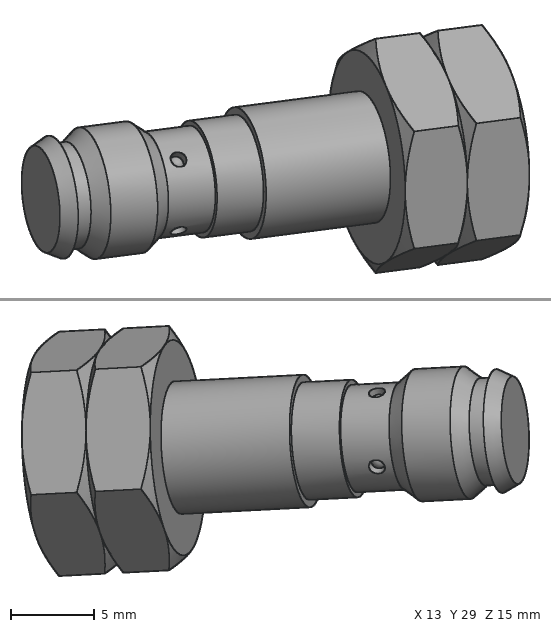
import cadquery as cq
import math

total_length = 29.0

nut_count = 2
nut_thickness = 4.0
across_flats = 13.0
hex_chamfer_angle = 30.0

shank_diameter = 8.0
step_diameter = 7.1
neck_diameter = 6.5
collar_diameter = shank_diameter
lip_diameter = 7.48

shank_end = 16.0
step_end = 19.0
neck_end = 22.0
collar_start = 23.0
collar_end = 26.0
groove_start = 27.0
groove_end = 28.0

hole_count = 4
hole_diameter = 1.0
hole_distance = 21.0
first_hole_angle = 45.0
ball_diameter = hole_diameter
ball_recess = 0.25


def revolve_about_y(points):
    """Turn a closed (radius, y) profile about the Y axis."""
    return cq.Workplane("XY").polyline(points).close().revolve(360, (0, 0, 0), (0, 1, 0))


def make_nut(back_distance):
    """Hexagon with corners on +/-Z, both ends bevelled by a cone tangent to the flats."""
    corner_radius = across_flats / math.sqrt(3)
    flat_radius = across_flats / 2
    bevel = (corner_radius - flat_radius) * math.tan(math.radians(hex_chamfer_angle))
    back_y = -back_distance
    front_y = back_y - nut_thickness
    corners = []
    for i in range(6):
        angle = math.radians(90 + 60 * i)
        corners.append((corner_radius * math.cos(angle), corner_radius * math.sin(angle)))
    prism = cq.Workplane("XZ", origin=(0, back_y, 0)).polyline(corners).close().extrude(nut_thickness)
    envelope = revolve_about_y([
        (0, back_y),
        (flat_radius, back_y),
        (corner_radius, back_y - bevel),
        (corner_radius, front_y + bevel),
        (flat_radius, front_y),
        (0, front_y),
    ])
    return prism.intersect(envelope)


def make_stem():
    """Solid stepped stem, starting inside the head."""
    shank_radius = shank_diameter / 2
    step_radius = step_diameter / 2
    neck_radius = neck_diameter / 2
    collar_radius = collar_diameter / 2
    return revolve_about_y([
        (0, 0),
        (shank_radius, 0),
        (shank_radius, -shank_end),
        (step_radius, -shank_end),
        (step_radius, -step_end),
        (neck_radius, -step_end),
        (neck_radius, -neck_end),
        (collar_radius, -collar_start),
        (collar_radius, -collar_end),
        (neck_radius, -groove_start),
        (neck_radius, -groove_end),
        (lip_diameter / 2, -groove_end),
        (neck_radius, -total_length),
        (0, -total_length),
    ])


def make_hole(angle_degrees):
    """Space of one radial hole, with a domed floor left by the ball."""
    angle = math.radians(angle_degrees)
    outward = cq.Vector(math.cos(angle), 0, math.sin(angle))
    ball_radius = ball_diameter / 2
    ball_distance = neck_diameter / 2 - ball_recess - ball_radius
    ball_center = cq.Vector(0, -hole_distance, 0) + outward * ball_distance
    drilling = cq.Solid.makeCylinder(hole_diameter / 2, neck_diameter / 2, ball_center, outward)
    ball = cq.Solid.makeSphere(ball_radius, ball_center, outward, -90, 90, 360)
    return cq.Workplane(drilling).cut(cq.Workplane(ball))


result = make_stem()
for nut_index in range(nut_count):
    result = result.union(make_nut(nut_index * nut_thickness))
for hole_index in range(hole_count):
    result = result.cut(make_hole(first_hole_angle + hole_index * 360 / hole_count))